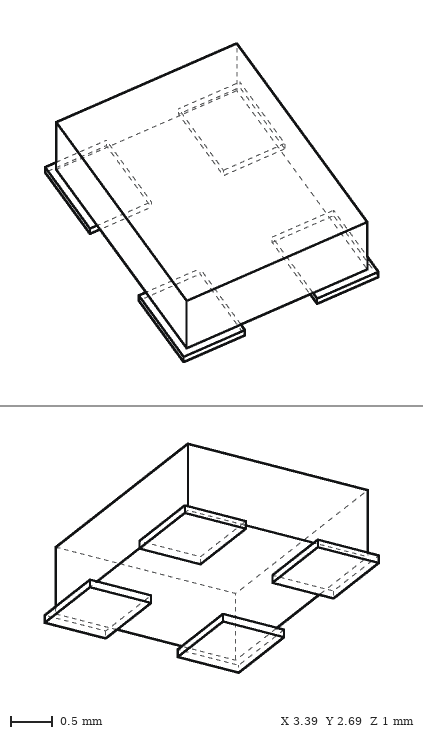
import cadquery as cq

overall_length = 3.39
overall_width = 2.69
overall_height = 1.0

pad_length = 1.1
pad_width = 0.848
pad_thickness = 0.102
pad_overhang = 0.1

housing_length = overall_length - 2 * pad_overhang
housing_width = overall_width - 2 * pad_overhang
housing_height = overall_height - pad_thickness

pad_center_x = (overall_length - pad_length) / 2
pad_center_y = (overall_width - pad_width) / 2


def make_housing():
    """Plain block whose underside lies on the pad tops."""
    return (
        cq.Workplane("XY")
        .workplane(offset=pad_thickness)
        .rect(housing_length, housing_width)
        .extrude(housing_height)
    )


def make_pad(center_x, center_y):
    """Thin rectangular terminal pad with its underside at Z = 0."""
    return (
        cq.Workplane("XY")
        .center(center_x, center_y)
        .rect(pad_length, pad_width)
        .extrude(pad_thickness)
    )


housing = make_housing()

pads = []
for side_x in (-1, 1):
    for side_y in (-1, 1):
        pads.append(make_pad(side_x * pad_center_x, side_y * pad_center_y).val())

result = cq.Compound.makeCompound([housing.val(), *pads])